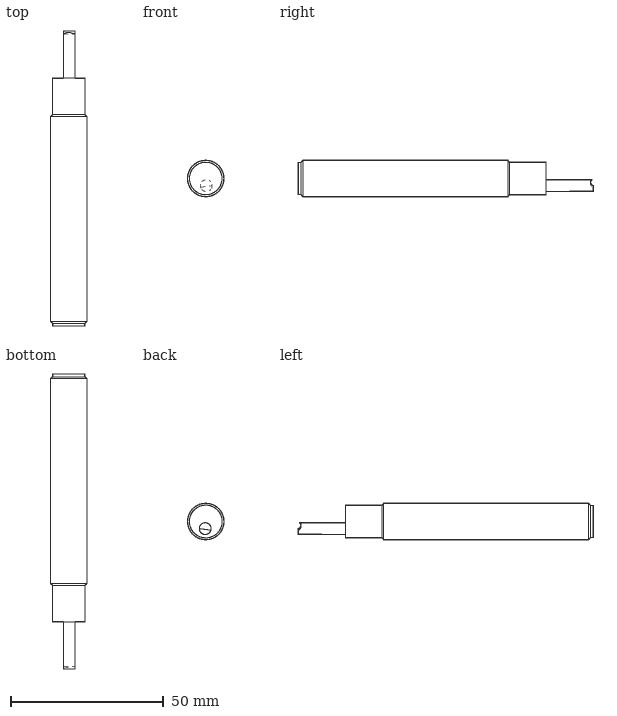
import cadquery as cq

total_length = 96.8

barrel_diameter = 12.0
shoulder_diameter = 10.7
nose_diameter = 10.6
nose_length = 1.0
bevel_length = 0.6
collar_length = 12.0

stem_diameter = 3.9
stem_length = 15.5
stem_drop = 2.3
stem_shift = 0.2

notch_diameter = 2.5
notch_depth = 1.0
notch_rise = 1.0
notch_tilt = 8.0

rear_y = -total_length / 2
tip_y = total_length / 2
collar_end_y = tip_y - stem_length
collar_start_y = collar_end_y - collar_length


def make_body():
    """Revolve the nose, bevelled barrel and collar about the Y axis."""
    barrel_radius = barrel_diameter / 2
    nose_radius = nose_diameter / 2
    shoulder_radius = shoulder_diameter / 2
    nose_end_y = rear_y + nose_length
    profile = [
        (0, rear_y),
        (nose_radius, rear_y),
        (nose_radius, nose_end_y),
        (barrel_radius, nose_end_y + bevel_length),
        (barrel_radius, collar_start_y - bevel_length),
        (shoulder_radius, collar_start_y),
        (shoulder_radius, collar_end_y),
        (0, collar_end_y),
    ]
    return cq.Workplane("XY").polyline(profile).close().revolve(360, (0, 0, 0), (0, 1, 0))


def make_stem():
    """Extend the stem from the collar's end face to the tip."""
    return (
        cq.Workplane("XZ", origin=(stem_shift, tip_y, -stem_drop))
        .circle(stem_diameter / 2)
        .extrude(stem_length)
    )


def make_notch():
    """Make the tilted cylinder that hollows out the stem tip."""
    notch_radius = notch_diameter / 2
    centre_y = tip_y - notch_depth + notch_radius
    centre_z = notch_rise - stem_drop
    return (
        cq.Workplane("YZ")
        .circle(notch_radius)
        .extrude(stem_diameter, both=True)
        .rotate((0, 0, 0), (0, 1, 0), -notch_tilt)
        .translate((stem_shift, centre_y, centre_z))
    )


stem = make_stem().cut(make_notch())
result = make_body().union(stem)